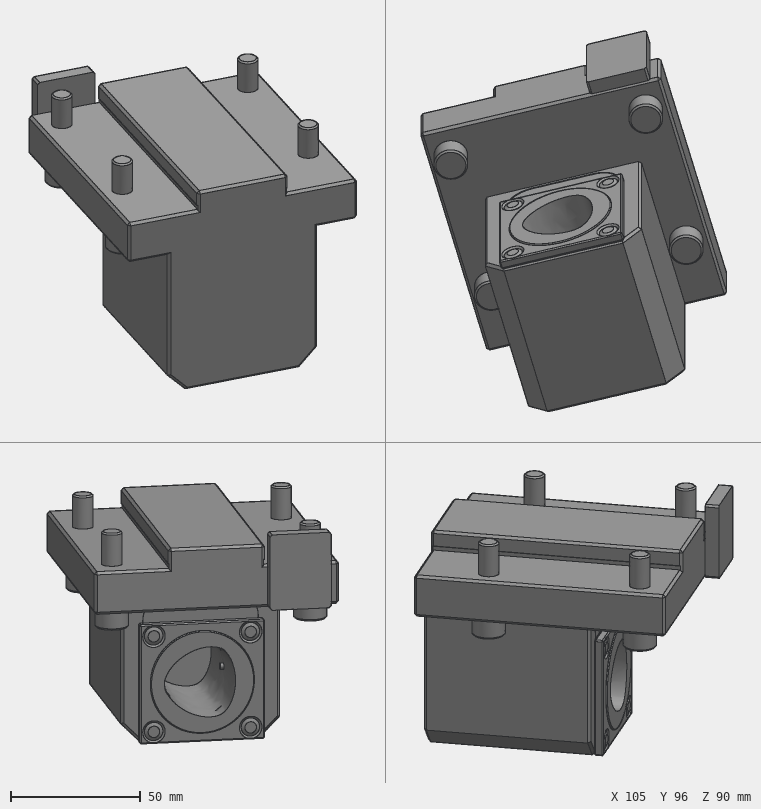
import cadquery as cq
import math


PLATE_LENGTH = 99.5
PLATE_WIDTH = 96.0
PLATE_THICKNESS = 17.0
KEY_WIDTH = 37.8
KEY_HEIGHT = 8.0
EDGE_CHAMFER = 1.0
RELIEF_HEIGHT = 1.7
RELIEF_DEPTH = 0.3

TAB_THICKNESS = 5.5
TAB_WIDTH = 24.0
TAB_HEIGHT = 30.0
TAB_CENTER_Y = -31.9
TAB_CHAMFER = 0.8

BOLT_DIAMETER = 8.0
BOLT_TOP_Z = TAB_HEIGHT
BOLT_TIP_CHAMFER = 0.6
BOLT_FIRST_X = 12.1
BOLT_PITCH_X = 60.0
BOLT_PITCH_Y = 77.9
HEAD_DIAMETER = 13.0
HEAD_HEIGHT = 8.0
HEAD_CHAMFER = 0.7

HOUSING_LENGTH = 66.0
HOUSING_WIDTH = 62.5
HOUSING_DEPTH = 60.0
HOUSING_CORNER = 7.5
HOUSING_OVERLAP = 5.2
HOUSING_FACE_X = PLATE_LENGTH - HOUSING_LENGTH

ARCH_WIDTH = 45.4
ARCH_TOP_Z = -1.3
ARCH_RADIUS = 10.5
ARCH_DEPTH = 0.3

FLANGE_WIDTH = 49.0
FLANGE_HEIGHT = 47.5
FLANGE_THICKNESS = 3.6
FLANGE_CHAMFER = 0.5
FLANGE_FACE_X = HOUSING_FACE_X - FLANGE_THICKNESS
FLANGE_CENTER_Z = FLANGE_HEIGHT / 2 - HOUSING_DEPTH

DISC_DIAMETER = 41.0
DISC_HEIGHT = 0.5
DISC_CHAMFER = 0.4
DISC_FACE_X = FLANGE_FACE_X - DISC_HEIGHT
BORE_MEAN_RADIUS = 14.0
BORE_LOBE_RISE = 1.0
BORE_LOBES = 3
BORE_DEPTH = 47.2
BORE_NARROWING = 0.6

PIN_DIAMETER = 2.5
PIN_TIP_Y = -11.3
PIN_ROOT_Y = -15.8

SCREW_PITCH = 38.0
SEAT_DIAMETER = 8.8
SCREW_HEAD_DIAMETER = 7.2
SCREW_TIP_DIAMETER = 4.5
SEAT_DEPTH = 0.6


def plane_facing_minus_x(x, z):
    """Plane at x and height z with its normal along -X; local x is -Y and local y is Z."""
    return cq.Workplane(cq.Plane((x, 0, z), xDir=(0, -1, 0), normal=(-1, 0, 0)))


def make_plate():
    plate = cq.Workplane("XY").box(PLATE_LENGTH, PLATE_WIDTH, PLATE_THICKNESS, centered=(False, True, False))
    key_top = PLATE_THICKNESS + KEY_HEIGHT
    key = cq.Workplane("XY").box(PLATE_LENGTH, KEY_WIDTH, key_top, centered=(False, True, False))
    plate = plate.union(key).clean()

    foot_corners = cq.selectors.BoxSelector(
        (EDGE_CHAMFER, -KEY_WIDTH / 2 - EDGE_CHAMFER, PLATE_THICKNESS - EDGE_CHAMFER),
        (PLATE_LENGTH - EDGE_CHAMFER, KEY_WIDTH / 2 + EDGE_CHAMFER, PLATE_THICKNESS + EDGE_CHAMFER),
    )
    plate = plate.edges(-foot_corners).chamfer(EDGE_CHAMFER)

    for side in (-1, 1):
        relief = cq.Workplane("XY").box(
            PLATE_LENGTH, 2 * RELIEF_DEPTH, RELIEF_HEIGHT, centered=(False, True, False)
        )
        plate = plate.cut(relief.translate((0, side * KEY_WIDTH / 2, PLATE_THICKNESS)))
    return plate


def make_tab():
    tab = cq.Workplane("XY").box(TAB_THICKNESS, TAB_WIDTH, TAB_HEIGHT, centered=(False, True, False))
    return tab.edges("|X").chamfer(TAB_CHAMFER).translate((-TAB_THICKNESS, TAB_CENTER_Y, 0))


def make_bolt(x, y):
    shank = cq.Workplane("XY").circle(BOLT_DIAMETER / 2).extrude(BOLT_TOP_Z)
    shank = shank.faces(">Z").chamfer(BOLT_TIP_CHAMFER)
    head = cq.Workplane("XY").workplane(offset=-HEAD_HEIGHT).circle(HEAD_DIAMETER / 2)
    head = head.extrude(HEAD_HEIGHT + EDGE_CHAMFER).faces("<Z").chamfer(HEAD_CHAMFER)
    return shank.union(head).translate((x, y, 0))


def make_housing():
    housing = cq.Workplane("XY").box(
        HOUSING_LENGTH, HOUSING_WIDTH, HOUSING_DEPTH + HOUSING_OVERLAP, centered=(False, True, False)
    )
    housing = housing.edges("|X and <Z").chamfer(HOUSING_CORNER)
    housing = housing.faces("<X or >X").edges("not >Z").chamfer(EDGE_CHAMFER)
    return housing.translate((HOUSING_FACE_X, 0, -HOUSING_DEPTH))


def make_arch_recess():
    height = ARCH_TOP_Z - FLANGE_CENTER_Z
    recess = cq.Workplane("XY").box(ARCH_DEPTH, ARCH_WIDTH, height, centered=(False, True, False))
    recess = recess.edges("|X and >Z").fillet(ARCH_RADIUS)
    return recess.translate((HOUSING_FACE_X, 0, FLANGE_CENTER_Z))


def make_flange():
    flange = plane_facing_minus_x(HOUSING_FACE_X, FLANGE_CENTER_Z).rect(FLANGE_WIDTH, FLANGE_HEIGHT)
    flange = flange.extrude(FLANGE_THICKNESS).edges().chamfer(FLANGE_CHAMFER)
    core_margin = 2 * FLANGE_CHAMFER
    core = plane_facing_minus_x(HOUSING_FACE_X + ARCH_DEPTH, FLANGE_CENTER_Z)
    core = core.rect(FLANGE_WIDTH - core_margin, FLANGE_HEIGHT - core_margin).extrude(ARCH_DEPTH)
    disc = plane_facing_minus_x(FLANGE_FACE_X, FLANGE_CENTER_Z).circle(DISC_DIAMETER / 2)
    disc = disc.extrude(DISC_HEIGHT).faces("<X").chamfer(DISC_CHAMFER)
    return flange.union(core).union(disc)


def lobed_outline(mean_radius):
    """Return a closed constant-width outline of three lobes, one pointing along +Y."""
    def point(t):
        angle = 2 * math.pi * t
        support = mean_radius + BORE_LOBE_RISE * math.cos(BORE_LOBES * (angle - math.pi))
        slope = -BORE_LOBES * BORE_LOBE_RISE * math.sin(BORE_LOBES * (angle - math.pi))
        return (
            support * math.cos(angle) - slope * math.sin(angle),
            support * math.sin(angle) + slope * math.cos(angle),
        )
    return point


def make_bore():
    bore = plane_facing_minus_x(DISC_FACE_X, FLANGE_CENTER_Z)
    bore = bore.parametricCurve(lobed_outline(BORE_MEAN_RADIUS)).workplane(offset=-BORE_DEPTH)
    return bore.parametricCurve(lobed_outline(BORE_MEAN_RADIUS - BORE_NARROWING)).loft()


def make_pin():
    pin_x = DISC_FACE_X + BORE_DEPTH / 2
    pin = cq.Workplane("XZ", origin=(pin_x, PIN_TIP_Y, FLANGE_CENTER_Z)).circle(PIN_DIAMETER / 2)
    return pin.extrude(PIN_TIP_Y - PIN_ROOT_Y)


def make_screw_seat():
    """Conical ring cut into the flange face, leaving a conical screw head in the middle."""
    outer, head, tip = SEAT_DIAMETER / 2, SCREW_HEAD_DIAMETER / 2, SCREW_TIP_DIAMETER / 2
    section = cq.Workplane("XY").polyline([(0, outer), (SEAT_DEPTH, head), (0, tip)]).close()
    return section.revolve(360, (0, 0, 0), (1, 0, 0))


result = make_plate().union(make_housing()).union(make_tab())
result = result.cut(make_arch_recess()).union(make_flange()).cut(make_bore()).union(make_pin())

for bolt_x in (BOLT_FIRST_X, BOLT_FIRST_X + BOLT_PITCH_X):
    for bolt_side in (-1, 1):
        result = result.union(make_bolt(bolt_x, bolt_side * BOLT_PITCH_Y / 2))

for side_y in (-1, 1):
    for side_z in (-1, 1):
        seat_y = side_y * SCREW_PITCH / 2
        seat_z = FLANGE_CENTER_Z + side_z * SCREW_PITCH / 2
        result = result.cut(make_screw_seat().translate((FLANGE_FACE_X, seat_y, seat_z)))